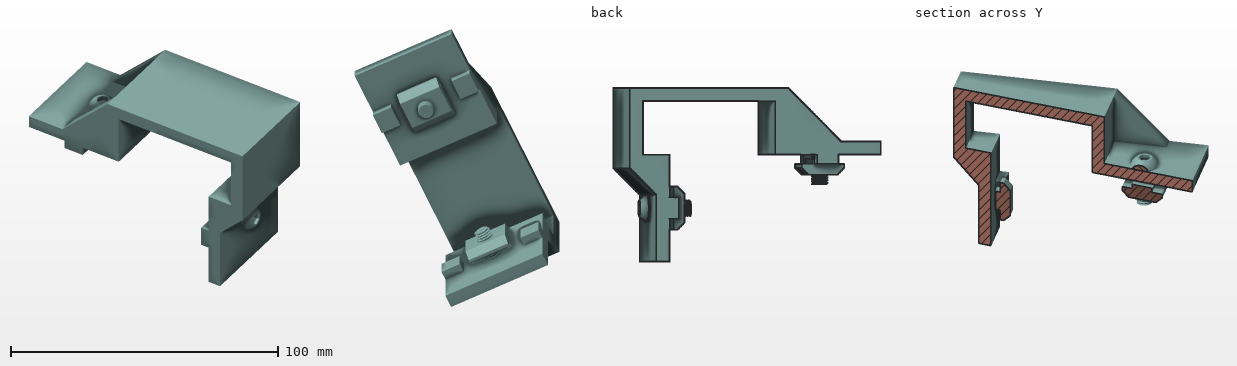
import math

import cadquery as cq

YAW = 8.98
LENGTH = 95.0
WIDTH = 40.0
HEIGHT = 65.0
WALL = 5.0
STEP_DROP = 20.0
FLANGE_TOP = HEIGHT - STEP_DROP
FLANGE_BOTTOM = FLANGE_TOP - WALL
INNER_WALL_X = 40.0
WEDGE_TOP_X = INNER_WALL_X - WALL
WEDGE_FOOT_X = WEDGE_TOP_X - STEP_DROP
BACK_INNER_X = LENGTH - WALL
LEG_INNER_X = 80.0
LEG_OUTER_X = LEG_INNER_X + WALL
SHELF_Z = 40.0
BACK_END_Z = 35.0
BACK_SLOPE_END_Z = BACK_END_Z - (LENGTH - LEG_OUTER_X)

LUG_LENGTH = 8.0
LUG_WIDTH = 7.5
LUG_HEIGHT = 3.4

FASTENER_Y = WIDTH / 2
FLANGE_SCREW_X = 20.0
LEG_SCREW_Z = 20.0
CLEARANCE_DIAMETER = 6.5

THREAD_DIAMETER = 6.0
THREAD_PITCH = 1.0
THREAD_DEPTH = 0.54 * THREAD_PITCH
ROOT_RADIUS = THREAD_DIAMETER / 2 - THREAD_DEPTH
RIDGE_BASE = 0.8 * THREAD_PITCH
RIDGE_OVERLAP = 0.1
SHANK_LENGTH = 16.0
HEAD_RADIUS = 5.25
HEAD_HEIGHT = 3.3
HEAD_RIM_HEIGHT = 0.6
HEAD_SEAT_RADIUS = 5.0
HEAD_TOP_RADIUS = 2.95
SOCKET_WIDTH = 4.0
SOCKET_DEPTH = 2.0

NUT_SIZE = 16.2
NUT_THICKNESS = 4.2
NUT_CHAMFER = 2.7
NUT_EDGE_RADIUS = 0.5
NUT_NECK_WIDTH = LUG_LENGTH
NUT_NECK_HEIGHT = 1.8
NUT_SHOULDER_Z = -(WALL + LUG_HEIGHT)


def place_on_flange(body):
    """Puts a fastener body with its seat on the flange."""
    return body.translate((FLANGE_SCREW_X, FASTENER_Y, FLANGE_TOP))


def place_on_leg(body):
    """Lays a fastener body along x with its seat on the outer face of the leg."""
    laid = body.rotate((0, 0, 0), (0, 1, 0), 90)
    return laid.translate((LEG_OUTER_X, FASTENER_Y, LEG_SCREW_Z))


PLACEMENTS = [place_on_flange, place_on_leg]


def make_bracket():
    outline = [
        (0, FLANGE_BOTTOM),
        (INNER_WALL_X, FLANGE_BOTTOM),
        (INNER_WALL_X, HEIGHT - WALL),
        (BACK_INNER_X, HEIGHT - WALL),
        (BACK_INNER_X, SHELF_Z),
        (LEG_INNER_X, SHELF_Z),
        (LEG_INNER_X, 0),
        (LEG_OUTER_X, 0),
        (LEG_OUTER_X, BACK_SLOPE_END_Z),
        (LENGTH, BACK_END_Z),
        (LENGTH, HEIGHT),
        (WEDGE_TOP_X, HEIGHT),
        (WEDGE_FOOT_X, FLANGE_TOP),
        (0, FLANGE_TOP),
    ]
    body = cq.Workplane("XZ").polyline(outline).close().extrude(-WIDTH)

    pocket = cq.Workplane("XY").box(
        WEDGE_TOP_X, WIDTH - 2 * WALL, STEP_DROP, centered=False
    )
    body = body.cut(pocket.translate((0, WALL, FLANGE_TOP)))

    for place in PLACEMENTS:
        for side in (-1, 1):
            lug = cq.Workplane("XY").box(
                LUG_LENGTH, LUG_WIDTH, LUG_HEIGHT, centered=(True, True, False)
            )
            lug_y = side * (WIDTH - LUG_WIDTH) / 2
            body = body.union(place(lug.translate((0, lug_y, NUT_SHOULDER_Z))))
        hole = cq.Workplane("XY").circle(CLEARANCE_DIAMETER / 2).extrude(-WALL)
        body = body.cut(place(hole))
    return body


def make_thread_ridge():
    """Right-handed helical ridge, running past both ends of the shank and trimmed to it."""
    ridge_foot = ROOT_RADIUS - RIDGE_OVERLAP
    helix_length = SHANK_LENGTH + 2 * THREAD_PITCH
    helix = cq.Wire.makeHelix(THREAD_PITCH, helix_length, ROOT_RADIUS)
    profile = [
        (ridge_foot, -RIDGE_BASE / 2),
        (THREAD_DIAMETER / 2, 0),
        (ridge_foot, RIDGE_BASE / 2),
    ]
    ridge = cq.Workplane("XZ").polyline(profile).close().sweep(cq.Workplane(helix), isFrenet=True)
    ridge = ridge.translate((0, 0, -SHANK_LENGTH - THREAD_PITCH))
    trim = cq.Workplane("XY").circle(THREAD_DIAMETER).extrude(-SHANK_LENGTH)
    return ridge.intersect(trim)


def make_screw():
    """Button head screw with its seat at z = 0 and its tip pointing down."""
    dome_centre = (
        HEAD_TOP_RADIUS**2 + HEAD_HEIGHT**2 - HEAD_RADIUS**2 - HEAD_RIM_HEIGHT**2
    ) / (2 * (HEAD_HEIGHT - HEAD_RIM_HEIGHT))
    dome_radius = math.hypot(HEAD_RADIUS, HEAD_RIM_HEIGHT - dome_centre)
    mid_height = (HEAD_HEIGHT + HEAD_RIM_HEIGHT) / 2
    mid_radius = math.sqrt(dome_radius**2 - (mid_height - dome_centre) ** 2)

    screw = (
        cq.Workplane("XZ")
        .moveTo(0, -SHANK_LENGTH)
        .lineTo(ROOT_RADIUS, -SHANK_LENGTH)
        .lineTo(ROOT_RADIUS, 0)
        .lineTo(HEAD_SEAT_RADIUS, 0)
        .lineTo(HEAD_RADIUS, HEAD_RIM_HEIGHT)
        .threePointArc((mid_radius, mid_height), (HEAD_TOP_RADIUS, HEAD_HEIGHT))
        .lineTo(0, HEAD_HEIGHT)
        .close()
        .revolve(360, (0, 0), (0, 1))
    )
    socket = (
        cq.Workplane("XY")
        .workplane(offset=HEAD_HEIGHT)
        .transformed(rotate=(0, 0, 90))
        .polygon(6, SOCKET_WIDTH, circumscribed=True)
        .extrude(-SOCKET_DEPTH)
    )
    return screw.union(make_thread_ridge()).cut(socket)


def make_nut(screw):
    """T-slot nut with a threaded bore that fits the screw."""
    plate = (
        cq.Workplane("XY")
        .box(NUT_SIZE, NUT_SIZE, NUT_THICKNESS, centered=(True, True, False))
        .translate((0, 0, NUT_SHOULDER_Z - NUT_THICKNESS))
    )
    plate = plate.faces("<Z").edges("|Y").chamfer(NUT_CHAMFER)
    plate = plate.faces("<Z or >Z").edges("|Y").fillet(NUT_EDGE_RADIUS)
    neck = (
        cq.Workplane("XY")
        .box(NUT_NECK_WIDTH, NUT_SIZE, NUT_NECK_HEIGHT, centered=(True, True, False))
        .translate((0, 0, NUT_SHOULDER_Z))
    )
    return plate.union(neck).cut(screw)


bracket = make_bracket()
screw = make_screw()
nut = make_nut(screw)

bodies = [bracket]
for place in PLACEMENTS:
    bodies.append(place(screw))
    bodies.append(place(nut))

result = cq.Compound.makeCompound(
    [body.rotate((0, 0, 0), (0, 0, 1), YAW).solids().val() for body in bodies]
)